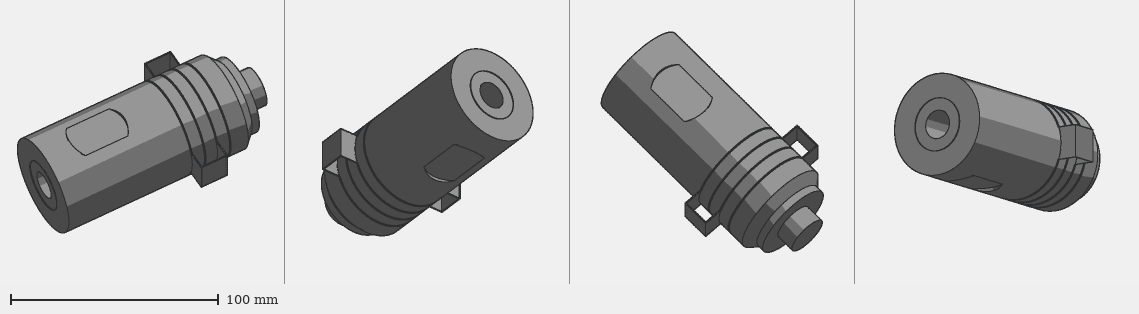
import cadquery as cq
import math

LENGTH = 118.5
BACK_Y = LENGTH / 2
FRONT_Y = -LENGTH / 2

BODY_RADIUS = 25.0
COLLAR_RADIUS = 20.0
SPIGOT_RADIUS = 10.1
SPIGOT_LENGTH = 10.0
COLLAR_LENGTH = 4.0
SHOULDER_LENGTH = BODY_RADIUS - COLLAR_RADIUS

RECESS_RADIUS = 13.0
RECESS_DEPTH = 0.5
HOLE_RADIUS = 7.0
HOLE_DEPTH = 30.0
DRILL_POINT_ANGLE = 118.0

POCKET_DIAMETER = 30.0
POCKET_DEPTH = 1.8
POCKET_Y = FRONT_Y + POCKET_DIAMETER

GROOVE_COUNT = 4
GROOVE_PITCH = 7.0
FIRST_GROOVE_Y = BACK_Y - 28.8
SHEET_THICKNESS = 0.6
GROOVE_DEPTH = 0.4
OVERALL_WIDTH = 67.4
CLIP_REACH = OVERALL_WIDTH / 2
CLIP_HEIGHT = 16.0


def groove_y(index):
    return FIRST_GROOVE_Y - index * GROOVE_PITCH


def turned_body():
    collar_back = BACK_Y - SPIGOT_LENGTH
    collar_front = collar_back - COLLAR_LENGTH
    profile = [
        (0, FRONT_Y),
        (BODY_RADIUS, FRONT_Y),
        (BODY_RADIUS, collar_front - SHOULDER_LENGTH),
        (COLLAR_RADIUS, collar_front),
        (COLLAR_RADIUS, collar_back),
        (SPIGOT_RADIUS, collar_back),
        (SPIGOT_RADIUS, BACK_Y),
        (0, BACK_Y),
    ]
    return cq.Workplane("XY").polyline(profile).close().revolve(360, (0, 0), (0, 1))


def front_bore():
    recess_floor = FRONT_Y + RECESS_DEPTH
    hole_end = FRONT_Y + HOLE_DEPTH
    point_length = HOLE_RADIUS / math.tan(math.radians(DRILL_POINT_ANGLE / 2))
    profile = [
        (0, FRONT_Y),
        (RECESS_RADIUS, FRONT_Y),
        (RECESS_RADIUS, recess_floor),
        (HOLE_RADIUS, recess_floor),
        (HOLE_RADIUS, hole_end),
        (0, hole_end + point_length),
    ]
    return cq.Workplane("XY").polyline(profile).close().revolve(360, (0, 0), (0, 1))


def wrench_pocket(side):
    """Round cutter reaching inwards from the top (side = 1) or bottom (side = -1)."""
    floor_z = side * (BODY_RADIUS - POCKET_DEPTH)
    return (
        cq.Workplane("XY", origin=(0, POCKET_Y, floor_z))
        .circle(POCKET_DIAMETER / 2)
        .extrude(side * BODY_RADIUS)
    )


def ring_groove(center_y):
    return (
        cq.Workplane("XZ", origin=(0, center_y + SHEET_THICKNESS / 2, 0))
        .circle(BODY_RADIUS + GROOVE_DEPTH)
        .circle(BODY_RADIUS - GROOVE_DEPTH)
        .extrude(SHEET_THICKNESS)
    )


def clip(side, first_groove):
    """Bent sheet loop joining two alternate grooves on the -X or +X side of the body."""
    center_y = (groove_y(first_groove) + groove_y(first_groove + 2)) / 2
    outer_width = 2 * GROOVE_PITCH + SHEET_THICKNESS
    inner_width = outer_width - 2 * SHEET_THICKNESS
    inner_reach = CLIP_REACH - SHEET_THICKNESS
    outer = cq.Workplane("XY").box(CLIP_REACH, outer_width, CLIP_HEIGHT)
    inner = cq.Workplane("XY").box(inner_reach, inner_width, CLIP_HEIGHT)
    outer = outer.translate((side * CLIP_REACH / 2, center_y, 0))
    inner = inner.translate((side * inner_reach / 2, center_y, 0))
    return outer.cut(inner)


result = turned_body()
for index in range(GROOVE_COUNT):
    result = result.cut(ring_groove(groove_y(index)))
for pocket_side in (1, -1):
    result = result.cut(wrench_pocket(pocket_side))
result = result.union(clip(-1, 0)).union(clip(1, 1))
result = result.cut(front_bore())